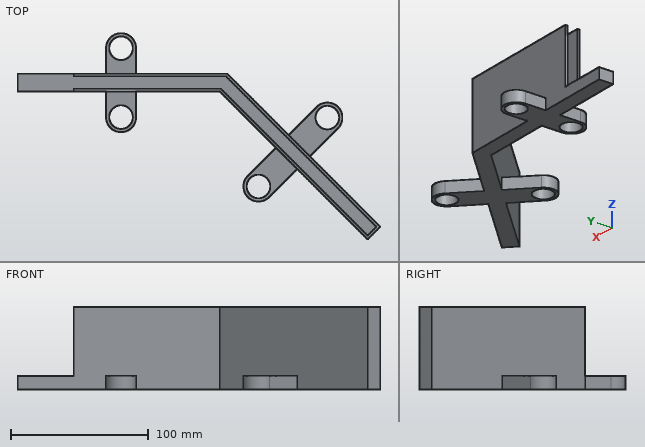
import cadquery as cq
import math

bend_angle = 45.0
channel_width = 13.0
wall = 2.0
height = 60.0
base_thickness = 10.0
first_leg = 149.38
second_leg = 154.38
tongue_length = 40.5

lug_width = 22.0
lug_hole = 17.0
first_lug_hole_spacing = 50.0
second_lug_hole_spacing = 50.0 * math.sqrt(2)
first_lug_setback = 74.38
second_lug_setback = 71.2

bend_radians = math.radians(bend_angle)


def along_second_leg(distance):
    """Point on the second leg's centreline at a distance from the bend."""
    return (
        first_leg + distance * math.cos(bend_radians),
        -distance * math.sin(bend_radians),
    )


def bent_strip(width, start_x, end_distance, thickness):
    """Mitred strip following the bent centreline, standing on Z = 0."""
    half = width / 2
    miter = half * math.tan(bend_radians / 2)
    end_x, end_y = along_second_leg(end_distance)
    shift_x = half * math.sin(bend_radians)
    shift_y = half * math.cos(bend_radians)
    outline = [
        (start_x, half),
        (first_leg + miter, half),
        (end_x + shift_x, end_y + shift_y),
        (end_x - shift_x, end_y - shift_y),
        (first_leg - miter, -half),
        (start_x, -half),
    ]
    return cq.Workplane("XY").polyline(outline).close().extrude(thickness)


def make_channel():
    """Solid base strip carrying two walls joined at the far end."""
    base = bent_strip(channel_width, 0, second_leg, base_thickness)
    walls = bent_strip(channel_width, tongue_length, second_leg, height)
    gap = bent_strip(
        channel_width - 2 * wall, 0, second_leg - wall, height - base_thickness
    ).translate((0, 0, base_thickness))
    return base.union(walls.cut(gap))


def add_lug_bar(body, center, direction, hole_spacing):
    """Add a rounded mounting bar across the channel, with a hole at each end."""
    plane = cq.Workplane("XY").center(*center).transformed(rotate=(0, 0, direction))
    plate = plane.slot2D(hole_spacing + lug_width, lug_width).extrude(base_thickness)
    holes = (
        plane.pushPoints([(-hole_spacing / 2, 0), (hole_spacing / 2, 0)])
        .circle(lug_hole / 2)
        .extrude(base_thickness)
    )
    return body.union(plate).cut(holes)


first_lug_center = (first_leg - first_lug_setback, 0)
second_lug_center = along_second_leg(second_lug_setback)

result = make_channel()
result = add_lug_bar(result, first_lug_center, 90, first_lug_hole_spacing)
result = add_lug_bar(result, second_lug_center, 90 - bend_angle, second_lug_hole_spacing)